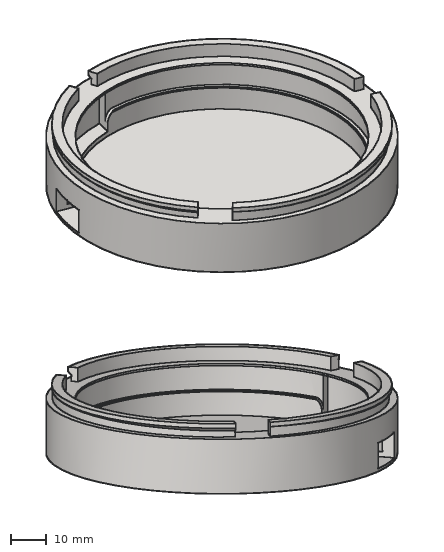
import cadquery as cq
import math

body_diameter = 98.5
body_height = 15.7
floor_thickness = 0.9
bore_radius = 82.0 / 2

undercut_radius = 84.9 / 2
shelf_height = 8.0
shelf_chamfer = 0.3
lip_thickness = 0.6
undercut_top = body_height - lip_thickness

recess_floor = 2.4
recess_radius = 45.7
recess_edge_y = -16.3
shelf_end_fillet = 2.95

window_width = 13.5
window_height = 7.4

lug_outer_radius = 47.6
lug_inner_radius = 44.7
lug_height = 4.0
lug_flange_thickness = 1.3
lug_gap = 9.7
lug_count = 3
lug_pitch = 360 / lug_count
first_gap_angle = 90
groove_depth = 1.1


def disc(radius, bottom, top):
    return cq.Workplane("XY").workplane(offset=bottom).circle(radius).extrude(top - bottom)


def polar(radius, degrees):
    angle = math.radians(degrees)
    return (radius * math.cos(angle), radius * math.sin(angle))


def make_body():
    body = disc(body_diameter / 2, 0, body_height)
    body = body.cut(disc(bore_radius, floor_thickness, body_height))
    body = body.cut(disc(undercut_radius, shelf_height, undercut_top))

    bevel = (
        cq.Workplane("XY")
        .workplane(offset=shelf_height - shelf_chamfer)
        .circle(bore_radius)
        .workplane(offset=shelf_chamfer)
        .circle(bore_radius + shelf_chamfer)
        .loft(ruled=True)
    )
    body = body.cut(bevel)

    front_half_space = (
        cq.Workplane("XY")
        .box(body_diameter, body_diameter, body_height, centered=(True, False, False))
        .translate((0, recess_edge_y - body_diameter, 0))
    )
    recess = disc(recess_radius, recess_floor, undercut_top).intersect(front_half_space)
    body = body.cut(recess)

    for side in (-1, 1):
        rounded_end = (
            cq.Workplane("YZ")
            .moveTo(recess_edge_y, shelf_height)
            .lineTo(recess_edge_y + shelf_end_fillet, shelf_height)
            .radiusArc((recess_edge_y, shelf_height - shelf_end_fillet), -shelf_end_fillet)
            .close()
            .extrude(side * undercut_radius)
        )
        body = body.cut(rounded_end.intersect(disc(undercut_radius, 0, shelf_height)))

    window = (
        cq.Workplane("XY")
        .box(window_width, body_diameter / 2, window_height, centered=(True, False, False))
        .translate((0, -body_diameter / 2, floor_thickness))
    )
    return body.cut(window)


def circle_through(a, b, c):
    """Centre and radius of the circle through three points."""
    edge = cq.Edge.makeThreePointArc(cq.Vector(*a), cq.Vector(*b), cq.Vector(*c))
    return edge.arcCenter(), edge.radius()


def lug_stem(start_angle):
    """Ring stem whose eccentric outside leaves a groove deepening along the lug.

    The groove starts at zero depth and ends at full depth. A 45 degree cone,
    concentric with the flange, widens the stem again to meet it.
    """
    center, radius = circle_through(
        polar(lug_outer_radius, start_angle),
        polar(lug_outer_radius - groove_depth / 2, start_angle + lug_pitch / 2),
        polar(lug_outer_radius - groove_depth, start_angle + lug_pitch),
    )
    flange_bottom = body_height + lug_height - lug_flange_thickness
    cone_bottom = flange_bottom - groove_depth
    stem = disc(radius, body_height, flange_bottom)
    cone = (
        cq.Workplane("XY")
        .workplane(offset=cone_bottom)
        .circle(lug_outer_radius - groove_depth)
        .workplane(offset=groove_depth)
        .circle(lug_outer_radius)
        .loft(ruled=True)
    )
    return stem.translate((center.x, center.y, 0)).union(cone)


def make_lug(start_angle):
    top = body_height + lug_height
    flange = disc(lug_outer_radius, top - lug_flange_thickness, top)
    ring = disc(lug_outer_radius, body_height, top).cut(disc(lug_inner_radius, body_height, top))

    sector = (
        cq.Workplane("XY")
        .workplane(offset=body_height)
        .polyline([
            (0, 0),
            polar(body_diameter, start_angle),
            polar(body_diameter, start_angle + lug_pitch / 2),
            polar(body_diameter, start_angle + lug_pitch),
        ])
        .close()
        .extrude(lug_height)
    )
    lug = flange.union(lug_stem(start_angle)).intersect(ring).intersect(sector)

    for gap_angle in (start_angle, start_angle + lug_pitch):
        gap = (
            cq.Workplane("XY")
            .box(body_diameter, lug_gap, lug_height, centered=(False, True, False))
            .rotate((0, 0, 0), (0, 0, 1), gap_angle)
            .translate((0, 0, body_height))
        )
        lug = lug.cut(gap)
    return lug


result = make_body()
for index in range(lug_count):
    result = result.union(make_lug(first_gap_angle + index * lug_pitch))